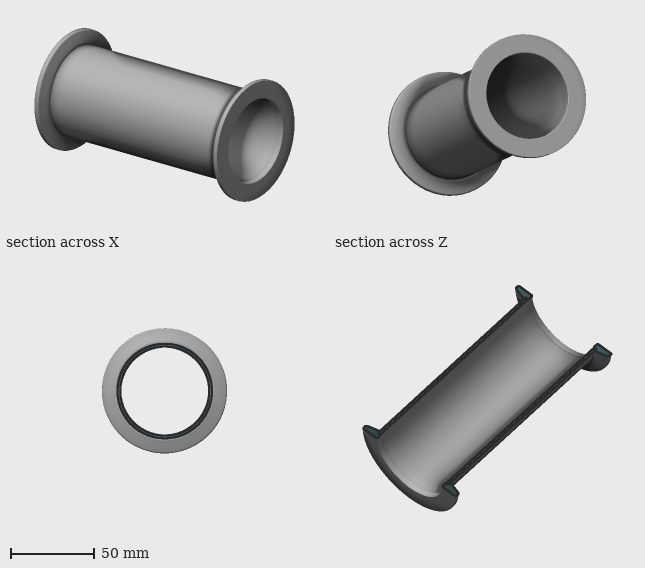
import cadquery as cq
import math

overall_length = 140.0
flange_diameter = 75.0

tube_outer_diameter = 57.0
tube_wall = 2.0

flange_bore_diameter = 52.2
socket_start = 3.5
rim_width = 3.0
taper_angle = 15.0
socket_lip = 1.25
rim_front_chamfer = 0.25
bore_front_chamfer = 0.3
rim_back_round = 1.0

flange_radius = flange_diameter / 2
flange_bore_radius = flange_bore_diameter / 2
tube_outer_radius = tube_outer_diameter / 2
tube_bore_radius = tube_outer_radius - tube_wall
tube_length = overall_length - 2 * socket_start
lip_radius = tube_outer_radius + socket_lip
face_x = -overall_length / 2
rim_back_x = face_x + rim_width
socket_x = face_x + socket_start
taper_end_x = rim_back_x + (flange_radius - lip_radius) * math.tan(math.radians(taper_angle))


def make_tube():
    """Plain tube whose ends seat in the flange sockets."""
    return (
        cq.Workplane("YZ", origin=(socket_x, 0, 0))
        .circle(tube_outer_radius)
        .circle(tube_bore_radius)
        .extrude(tube_length)
    )


def make_left_flange():
    """Revolved flange with a chamfered face, tapered back and a socket for the tube."""
    profile = (
        cq.Workplane("XY")
        .moveTo(face_x + bore_front_chamfer, flange_bore_radius)
        .lineTo(face_x, flange_bore_radius + bore_front_chamfer)
        .lineTo(face_x, flange_radius - rim_front_chamfer)
        .lineTo(face_x + rim_front_chamfer, flange_radius)
        .lineTo(rim_back_x, flange_radius)
        .lineTo(taper_end_x, lip_radius)
        .lineTo(taper_end_x, tube_outer_radius)
        .lineTo(socket_x, tube_outer_radius)
        .lineTo(socket_x, flange_bore_radius)
        .close()
    )
    flange = profile.revolve(360, (0, 0, 0), (1, 0, 0))
    rim_edges = flange.edges(cq.selectors.RadiusNthSelector(-1))
    return rim_edges.edges(">X").fillet(rim_back_round)


tube = make_tube()
left_flange = make_left_flange()
flanges = [left_flange, left_flange.mirror("YZ")]

result = cq.Compound.makeCompound([tube.val()] + [flange.val() for flange in flanges])